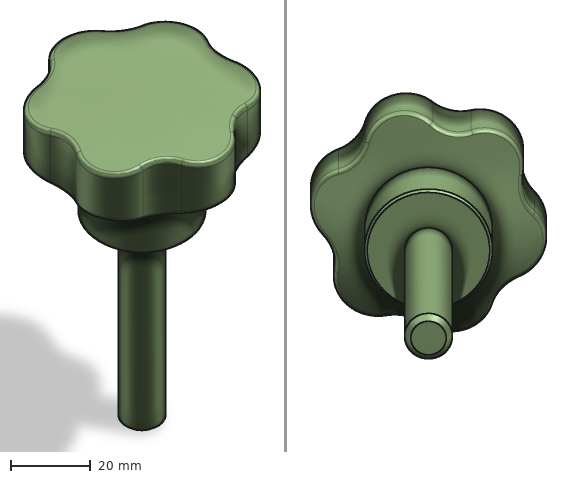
import cadquery as cq
import math

TOTAL_HEIGHT = 112.0
HUB_BOTTOM = 70.0
HEAD_BOTTOM = 88.0

STUD_DIAMETER = 12.0
STUD_CHAMFER = 1.6
HUB_DIAMETER = 32.0
HUB_CHAMFER = 0.7

LOBE_COUNT = 6
HEAD_DIAMETER = 60.0
LOBE_RADIUS = 21.0 / 2
LOBE_CENTER = HEAD_DIAMETER / 2 - LOBE_RADIUS
CROWN_RADIUS = 125.4
UNDERSIDE_RADIUS = 69.4
EDGE_FILLET = 1.5


def polar(radius, angle):
    """Point at a distance from the axis, with the angle in degrees from +X."""
    return (radius * math.cos(math.radians(angle)), radius * math.sin(math.radians(angle)))


def lobed_outline():
    """Closed star outline with a lobe pointing along +Y."""
    half_pitch = 180 / LOBE_COUNT
    along = LOBE_CENTER * math.cos(math.radians(half_pitch))
    across = LOBE_CENTER * math.sin(math.radians(half_pitch))
    valley_center = along + math.sqrt((2 * LOBE_RADIUS) ** 2 - across**2)
    valley_floor = valley_center - LOBE_RADIUS

    joint_x = (along + valley_center) / 2
    joint_y = across / 2
    joint_radius = math.hypot(joint_x, joint_y)
    joint_offset = math.degrees(math.atan2(joint_y, joint_x))

    start_valley = 90 - half_pitch
    outline = cq.Workplane("XY").moveTo(*polar(joint_radius, start_valley + joint_offset))
    for index in range(LOBE_COUNT):
        lobe_angle = 90 + index * 2 * half_pitch
        valley_angle = lobe_angle + half_pitch
        outline = outline.threePointArc(
            polar(HEAD_DIAMETER / 2, lobe_angle),
            polar(joint_radius, valley_angle - joint_offset),
        )
        outline = outline.threePointArc(
            polar(valley_floor, valley_angle),
            polar(joint_radius, valley_angle + joint_offset),
        )
    return outline.close()


def make_head():
    """Lobed prism trimmed by a domed crown and a bowl-shaped underside."""
    hub_radius = HUB_DIAMETER / 2
    underside_center = HEAD_BOTTOM + math.sqrt(UNDERSIDE_RADIUS**2 - hub_radius**2)
    prism = lobed_outline().extrude(TOTAL_HEIGHT)
    crown = cq.Workplane("XY").sphere(CROWN_RADIUS).translate((0, 0, TOTAL_HEIGHT - CROWN_RADIUS))
    underside = cq.Workplane("XY").sphere(UNDERSIDE_RADIUS).translate((0, 0, underside_center))
    head = prism.intersect(crown).intersect(underside)
    return head.faces("%SPHERE").edges().fillet(EDGE_FILLET)


def make_hub():
    """Cylinder rising into the head, with a chamfered lower rim."""
    overlap_top = (HEAD_BOTTOM + TOTAL_HEIGHT) / 2
    hub = cq.Workplane("XY").workplane(offset=HUB_BOTTOM).circle(HUB_DIAMETER / 2)
    return hub.extrude(overlap_top - HUB_BOTTOM).faces("<Z").chamfer(HUB_CHAMFER)


def make_stud():
    """Plain stud with a chamfered tip, joined inside the hub."""
    stud = cq.Workplane("XY").circle(STUD_DIAMETER / 2).extrude(HEAD_BOTTOM)
    return stud.faces("<Z").chamfer(STUD_CHAMFER)


result = make_head().union(make_hub()).union(make_stud())